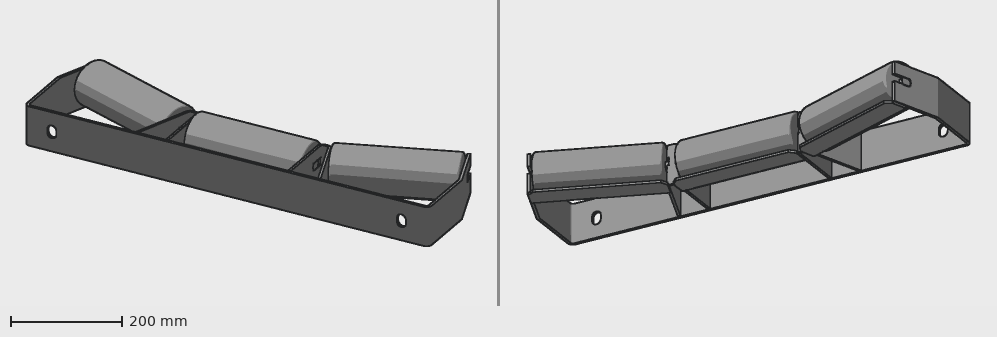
import cadquery as cq
import math

frame_length = 830.0
total_height = 97.0
frame_height = 80.0
frame_thickness = 6.0
frame_bend = 5.0
flange_inner = 124.0
flange_tip = 29.0
mount_hole_inset = 56.5
mount_hole_width = 18.0
mount_hole_height = 26.0

trough_angle = 20.0
roller_diameter = 89.0
roller_length = 239.0
roller_edge_radius = 5.0
shaft_diameter = 20.0
shaft_flat_width = 15.0
centre_axis_y = 100.5
side_centre_x = 268.0
side_centre_y = 149.0

bracket_gap = 246.0
bracket_thickness = 5.0
bracket_bend = 5.0
bracket_top = 127.0
slot_length = 50.0

plate_length = 255.0
plate_width = 43.0
plate_thickness = 5.0
plate_chamfer = 11.0

roller_stations = [
    (-side_centre_x, side_centre_y, -trough_angle),
    (0.0, centre_axis_y, 0.0),
    (side_centre_x, side_centre_y, trough_angle),
]
roller_radius = roller_diameter / 2
axis_height = total_height - plate_thickness - roller_radius
bracket_inner = bracket_gap / 2
bracket_outer = bracket_inner + bracket_thickness
flange_outer = flange_inner + frame_thickness


def place(body, station):
    """Move a body from the local roller frame to its station."""
    x, y, angle = station
    return body.rotate((0, 0, 0), (0, 0, 1), angle).translate((x, y, 0))


def station_point(station, along, across):
    """Plan position of a point given along and across a roller axis."""
    x, y, angle = station
    c, s = math.cos(math.radians(angle)), math.sin(math.radians(angle))
    return (x + along * c - across * s, y + along * s + across * c)


def point_at(start, through, axis, value):
    """Point on the line start-through where the coordinate `axis` equals value."""
    t = (value - start[axis]) / (through[axis] - start[axis])
    return tuple(a + t * (b - a) for a, b in zip(start, through))


def left_normal(start, end):
    length = math.dist(start, end)
    return ((start[1] - end[1]) / length, (end[0] - start[0]) / length)


def offset_path(path, distance):
    """Open path moved to its left side, with mitred corners."""
    normals = [left_normal(a, b) for a, b in zip(path, path[1:])]
    befores = [normals[0]] + normals
    afters = normals + [normals[-1]]
    moved = []
    for (x, y), before, after in zip(path, befores, afters):
        scale = distance / (1 + before[0] * after[0] + before[1] * after[1])
        moved.append((x + scale * (before[0] + after[0]), y + scale * (before[1] + after[1])))
    return moved


def bent_strip(outer_path, thickness, inside_radius):
    """Upright sheet-metal strip to the left of its outer face path, with round bends."""
    inner_path = offset_path(outer_path, thickness)
    strip = cq.Workplane("XY").polyline(outer_path + inner_path[::-1]).close().extrude(frame_height)
    mid = frame_height / 2
    bends = [(outer_path, inside_radius + thickness), (inner_path, inside_radius)]
    for path, radius in bends:
        for x, y in path[1:-1]:
            strip = strip.edges(cq.selectors.NearestToPointSelector((x, y, mid))).fillet(radius)
    return strip


def make_shaft(length):
    """Round shaft with two flats, above and below."""
    shaft = cq.Workplane("YZ", origin=(-length / 2, 0, 0)).circle(shaft_diameter / 2).extrude(length)
    flats = cq.Workplane("XY").box(length, shaft_diameter, shaft_flat_width)
    return shaft.intersect(flats).translate((0, 0, axis_height))


def make_slots(length):
    """Shaft-shaped slots of all three stations, open toward +Y."""
    run = cq.Workplane("XY").box(length, slot_length, shaft_flat_width)
    slot = make_shaft(length).union(run.translate((0, slot_length / 2, axis_height)))
    return [place(slot, station) for station in roller_stations]


def make_frame():
    """Back bar bent into two side arms with inclined end flanges."""
    left = roller_stations[0]
    half = frame_length / 2
    tip = station_point(left, -flange_outer, flange_tip)
    knee = point_at(tip, station_point(left, -flange_outer, 0), 0, -half)
    left_path = [tip, knee, (-half, 0)]
    right_path = [(-x, y) for x, y in left_path[::-1]]
    frame = bent_strip(left_path + right_path, frame_thickness, frame_bend)

    hole_x = half - mount_hole_inset
    holes = (
        cq.Workplane("XZ")
        .pushPoints([(-hole_x, frame_height / 2), (hole_x, frame_height / 2)])
        .slot2D(mount_hole_height, mount_hole_width, 90)
        .extrude(-frame_thickness)
    )
    frame = frame.cut(holes)
    for slot in make_slots(2 * flange_outer):
        frame = frame.cut(slot)
    return frame


def make_left_bracket():
    """Folded bracket with one leg square to the back bar and one leaning leg."""
    left = roller_stations[0]
    lean_low = station_point(left, bracket_inner, 0)
    lean_high = station_point(left, bracket_inner, 8)
    path = [
        (-bracket_inner, 0),
        (-bracket_inner, bracket_top),
        point_at(lean_low, lean_high, 1, bracket_top),
        point_at(lean_low, lean_high, 1, 0),
    ]
    bracket = bent_strip(path, bracket_thickness, bracket_bend)
    back_bar = cq.Workplane("XY").box(
        frame_length, 2 * frame_thickness, frame_height, centered=(True, True, False)
    )
    bracket = bracket.cut(back_bar)
    for slot in make_slots(2 * bracket_outer):
        bracket = bracket.cut(slot)
    return bracket


def make_roller(shaft_length):
    """Roller drum with rounded rims on its flatted shaft."""
    start = (-roller_length / 2, 0, 0)
    drum = cq.Workplane("YZ", origin=start).circle(roller_radius).extrude(roller_length)
    drum = drum.faces("<X or >X").edges().fillet(roller_edge_radius)
    return drum.translate((0, 0, axis_height)).union(make_shaft(shaft_length))


def make_tie_plate():
    """Flat plate under the +Y half of a roller, with two cut corners."""
    plate = cq.Workplane("XY").box(
        plate_length, plate_width, plate_thickness, centered=(True, False, False)
    )
    return plate.edges("|Z and >Y").chamfer(plate_chamfer).translate((0, 0, -plate_thickness))


frame = make_frame()
left_bracket = make_left_bracket()
brackets = [left_bracket, left_bracket.mirror("YZ")]
rollers = [place(make_roller(2 * bracket_outer), station) for station in roller_stations]
tie_plates = [place(make_tie_plate(), station) for station in roller_stations]

result = cq.Compound.makeCompound(
    [body.solids().val() for body in [frame, *brackets, *rollers, *tie_plates]]
)